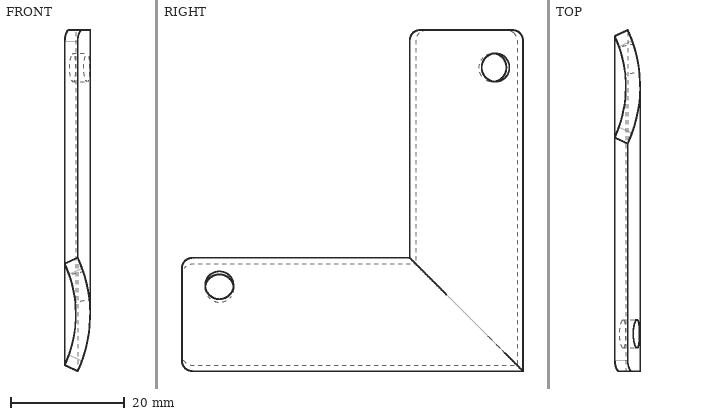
import cadquery as cq
import math

LEG_LENGTH = 60.0
LEG_WIDTH = 20.0
OUTER_RADIUS = 23.7
THICKNESS = 2.5
CORNER_RADIUS = 2.0
HOLE_DIAMETER = 5.0
HOLE_FROM_END = 6.6
HOLE_ANGLE = 12.6

INNER_RADIUS = OUTER_RADIUS - THICKNESS
HALF_ANGLE = math.asin(LEG_WIDTH / 2 / OUTER_RADIUS)
AXIS_X = -INNER_RADIUS * math.cos(HALF_ANGLE)
AXIS_Y = -LEG_WIDTH / 2
DEPTH = AXIS_X + OUTER_RADIUS


def arc_point(radius, angle):
    """Point of the cross-section at an angle (radians) around the bend axis."""
    return AXIS_X + radius * math.cos(angle), AXIS_Y + radius * math.sin(angle)


def curved_strip():
    """Upright strip with rounded corners at its free upper end."""
    strip = (
        cq.Workplane("XY")
        .moveTo(*arc_point(INNER_RADIUS, -HALF_ANGLE))
        .lineTo(*arc_point(OUTER_RADIUS, -HALF_ANGLE))
        .threePointArc(arc_point(OUTER_RADIUS, 0), arc_point(OUTER_RADIUS, HALF_ANGLE))
        .lineTo(*arc_point(INNER_RADIUS, HALF_ANGLE))
        .threePointArc(arc_point(INNER_RADIUS, 0), arc_point(INNER_RADIUS, -HALF_ANGLE))
        .close()
        .extrude(LEG_LENGTH)
    )
    return strip.faces(">Z").edges("%LINE").fillet(CORNER_RADIUS)


def radial_hole(side):
    """Hole cutter square to the curved wall; side +1 is nearest the outer edge of the L."""
    angle = math.radians(side * HOLE_ANGLE)
    start_radius = INNER_RADIUS - THICKNESS
    start = cq.Vector(*arc_point(start_radius, angle), LEG_LENGTH - HOLE_FROM_END)
    direction = cq.Vector(math.cos(angle), math.sin(angle), 0)
    return cq.Solid.makeCylinder(HOLE_DIAMETER / 2, 3 * THICKNESS, start, direction)


def mitred_leg(hole_side):
    """Upright leg with its lower end cut at 45 degrees from the outer corner of the L."""
    mitre_waste = (
        cq.Workplane("YZ")
        .polyline([(0, 0), (-LEG_LENGTH, 0), (-LEG_LENGTH, LEG_LENGTH)])
        .close()
        .extrude(DEPTH)
    )
    return curved_strip().cut(mitre_waste).cut(cq.Workplane(radial_hole(hole_side)))


upright_leg = mitred_leg(1)
level_leg = mitred_leg(-1).mirror("XY").rotate((0, 0, 0), (1, 0, 0), -90)

result = upright_leg.union(level_leg).translate((-DEPTH / 2, LEG_LENGTH / 2, -LEG_LENGTH / 2))